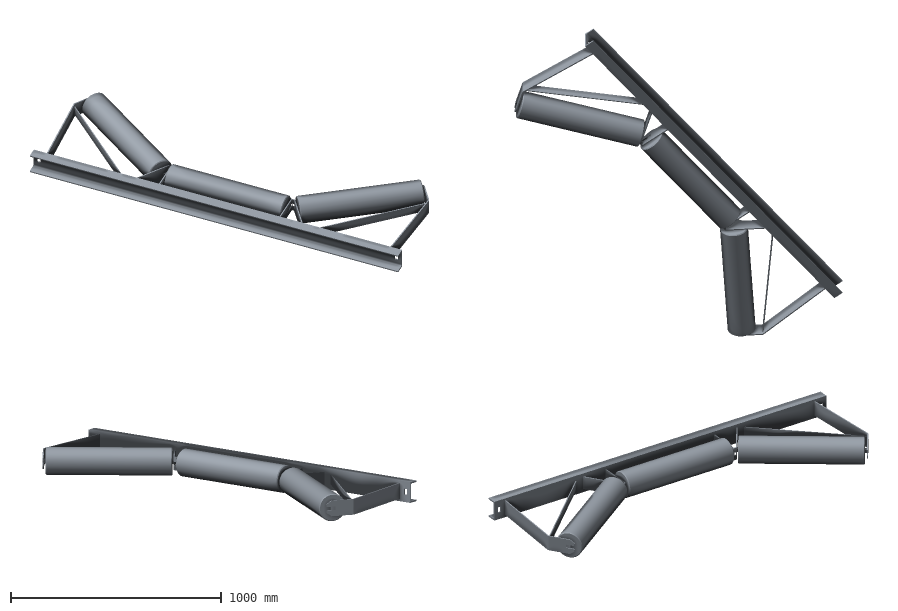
import cadquery as cq
import math


BEAM_LENGTH = 1900.0
BEAM_HEIGHT = 100.0
FLANGE_DEPTH = 50.0
WEB_THICKNESS = 5.0
FLANGE_THICKNESS = 8.0
ROOT_RADIUS = 8.0
TOE_RADIUS = 4.0
MOUNT_SLOT_WIDTH = 17.0
MOUNT_SLOT_HEIGHT = 28.0
MOUNT_SLOT_INSET = 28.0

ROLLER_RADIUS = 66.0
ROLLER_LENGTH = 600.0
SHAFT_WIDTH = 17.0
SHAFT_DEPTH = 20.0
SHAFT_RECESS = 2.0
ROLLER_CHAMFER = 4.0
TROUGH_ANGLE = 35.0
CENTRE_ROLLER_Y = 118.0
SIDE_ROLLER_X = 600.0
ROLLER_TOP_Y = 532.0
SIDE_ROLLER_Y = (
    ROLLER_TOP_Y
    - (ROLLER_LENGTH / 2 - ROLLER_CHAMFER) * math.sin(math.radians(TROUGH_ANGLE))
    - ROLLER_RADIUS * math.cos(math.radians(TROUGH_ANGLE))
)

STRIP_THICKNESS = 5.0
OUTER_WIDTH = 76.0
INNER_WIDTH = 65.0
BRACKET_GAP = 8.0
SIDE_BRACKET_SHIFT = 2.0
TIP_REACH = 35.0
TIP_CHAMFER_LENGTH = 25.0
TIP_CHAMFER_WIDTH = 17.0
BEND_REACH = 100.0
BEND_RADIUS = 13.0
OUTER_FOOT_X = 885.0
INNER_BRACKET_TOP_Y = 162.0

BRACE_THICKNESS = 4.8
BRACE_WIDTH = 45.0
BRACE_FOOT_X = 483.0

BRACKET_OFFSET = ROLLER_LENGTH / 2 + BRACKET_GAP + STRIP_THICKNESS / 2
SIDE_INNER_OFFSET = BRACKET_OFFSET - SIDE_BRACKET_SHIFT
SIDE_OUTER_OFFSET = BRACKET_OFFSET + SIDE_BRACKET_SHIFT
SHAFT_LENGTH = 2 * BRACKET_OFFSET + STRIP_THICKNESS - 2 * SHAFT_RECESS
CUT_LENGTH = 2 * BRACKET_OFFSET + 2 * STRIP_THICKNESS
LEG_BURIAL = 19.0


def place_on_roller(shape, x, y, angle):
    """Move a shape from the frame of a roller (axis along X, centre at the origin) to its place."""
    return shape.rotate((0, 0, 0), (0, 0, 1), angle).translate((x, y, 0))


def side_point(along, up):
    """Point of the right side roller's frame: `along` its axis outward, `up` square to it."""
    angle = math.radians(TROUGH_ANGLE)
    x = SIDE_ROLLER_X + along * math.cos(angle) - up * math.sin(angle)
    y = SIDE_ROLLER_Y + along * math.sin(angle) + up * math.cos(angle)
    return x, y


def point_at_height(start, end, y):
    """Point at height y on the line through two points."""
    share = (y - start[1]) / (end[1] - start[1])
    return start[0] + share * (end[0] - start[0]), y


def strip(points, thickness, width):
    """Flat bar bent along a centre line in XY, with mitred bends, centred on Z = 0."""
    normals = []
    for (x0, y0), (x1, y1) in zip(points, points[1:]):
        length = math.hypot(x1 - x0, y1 - y0)
        normals.append(((y0 - y1) / length, (x1 - x0) / length))
    before = [normals[0]] + normals
    after = normals + [normals[-1]]
    left = []
    right = []
    for (x, y), (ax, ay), (bx, by) in zip(points, before, after):
        reach = thickness / 2 / (1 + ax * bx + ay * by)
        dx = (ax + bx) * reach
        dy = (ay + by) * reach
        left.append((x + dx, y + dy))
        right.append((x - dx, y - dy))
    outline = left + right[::-1]
    return cq.Workplane("XY", origin=(0, 0, -width / 2)).polyline(outline).close().extrude(width)


def trim_at_beam(body):
    """Cut off everything below the back of the beam's web."""
    size = 2 * BEAM_LENGTH
    return body.cut(cq.Workplane("XY").box(size, size, size).translate((0, -size / 2, 0)))


def mirrored(body):
    return body.mirror("YZ")


def make_beam():
    inner_height = BEAM_HEIGHT - 2 * FLANGE_THICKNESS
    beam = cq.Workplane("XY").box(BEAM_LENGTH, FLANGE_DEPTH, BEAM_HEIGHT)
    beam = beam.translate((0, -FLANGE_DEPTH / 2, 0))
    trough = (
        cq.Workplane("XY")
        .box(BEAM_LENGTH, FLANGE_DEPTH, inner_height)
        .translate((0, -FLANGE_DEPTH / 2 - WEB_THICKNESS, 0))
        .edges("|X and >Y")
        .fillet(ROOT_RADIUS)
    )
    beam = beam.cut(trough)
    toes = cq.selectors.BoxSelector(
        (-BEAM_LENGTH, -FLANGE_DEPTH - TOE_RADIUS, -inner_height / 2 - TOE_RADIUS / 2),
        (BEAM_LENGTH, -FLANGE_DEPTH + TOE_RADIUS, inner_height / 2 + TOE_RADIUS / 2),
    )
    beam = beam.edges("|X").edges(toes).fillet(TOE_RADIUS)
    slot_x = BEAM_LENGTH / 2 - MOUNT_SLOT_INSET
    slots = (
        cq.Workplane("XZ")
        .pushPoints([(-slot_x, 0), (slot_x, 0)])
        .rect(MOUNT_SLOT_WIDTH, MOUNT_SLOT_HEIGHT)
        .extrude(FLANGE_DEPTH, both=True)
    )
    return beam.cut(slots)


def make_roller(x, y, angle):
    """Roller drum with the flat-sided ends of its shaft."""
    drum = cq.Workplane("YZ", origin=(-ROLLER_LENGTH / 2, 0, 0)).circle(ROLLER_RADIUS).extrude(ROLLER_LENGTH)
    drum = drum.edges().chamfer(ROLLER_CHAMFER)
    shaft = cq.Workplane("XY").box(SHAFT_LENGTH, SHAFT_DEPTH, SHAFT_WIDTH)
    return place_on_roller(drum.union(shaft), x, y, angle)


def make_shaft_slots(x, y, angle):
    """Slots over both shaft ends of a roller, open upward."""
    slots = cq.Workplane("XY").box(CUT_LENGTH, 2 * ROLLER_RADIUS, SHAFT_WIDTH)
    return place_on_roller(slots.translate((0, ROLLER_RADIUS - SHAFT_DEPTH / 2, 0)), x, y, angle)


def make_outer_bracket():
    """Right outer bracket: a leg from the beam, bent to stand square to the side roller."""
    tip = side_point(SIDE_OUTER_OFFSET, TIP_REACH)
    bend = side_point(SIDE_OUTER_OFFSET, -BEND_REACH)
    foot = point_at_height(bend, (OUTER_FOOT_X, 0), -LEG_BURIAL)
    bracket = strip([tip, bend, foot], STRIP_THICKNESS, OUTER_WIDTH)
    bracket = bracket.edges("|Z and >X").fillet(BEND_RADIUS)
    bracket = trim_at_beam(bracket)
    corner = (
        cq.Workplane("YZ")
        .moveTo(TIP_REACH, OUTER_WIDTH / 2)
        .lineTo(TIP_REACH - TIP_CHAMFER_LENGTH, OUTER_WIDTH / 2)
        .lineTo(TIP_REACH, OUTER_WIDTH / 2 - TIP_CHAMFER_WIDTH)
        .close()
        .extrude(CUT_LENGTH)
    )
    for cutter in (corner, corner.mirror("XY")):
        bracket = bracket.cut(place_on_roller(cutter, SIDE_ROLLER_X, SIDE_ROLLER_Y, TROUGH_ANGLE))
    return bracket.cut(make_shaft_slots(SIDE_ROLLER_X, SIDE_ROLLER_Y, TROUGH_ANGLE))


def make_inner_bracket():
    """Right inner bracket: an upright leg at the centre roller and a sloping one at the side roller."""
    upright_top = (BRACKET_OFFSET, INNER_BRACKET_TOP_Y)
    upright_foot = (BRACKET_OFFSET, -LEG_BURIAL)
    leg_line = (side_point(-SIDE_INNER_OFFSET, 0), side_point(-SIDE_INNER_OFFSET, 19))
    leg_top = point_at_height(*leg_line, INNER_BRACKET_TOP_Y)
    leg_foot = point_at_height(*leg_line, -LEG_BURIAL)
    bracket = strip([upright_foot, upright_top, leg_top, leg_foot], STRIP_THICKNESS, INNER_WIDTH)
    bracket = trim_at_beam(bracket)
    bracket = bracket.cut(make_shaft_slots(0, CENTRE_ROLLER_Y, 0))
    return bracket.cut(make_shaft_slots(SIDE_ROLLER_X, SIDE_ROLLER_Y, TROUGH_ANGLE))


def make_brace(outer_bracket):
    """Right brace: a flat bar from the bend of the outer bracket down to the beam."""
    bend = side_point(SIDE_OUTER_OFFSET, -BEND_REACH)
    foot = point_at_height(bend, (BRACE_FOOT_X, 0), -LEG_BURIAL)
    return trim_at_beam(strip([bend, foot], BRACE_THICKNESS, BRACE_WIDTH)).cut(outer_bracket)


beam = make_beam()
centre_roller = make_roller(0, CENTRE_ROLLER_Y, 0)
side_roller = make_roller(SIDE_ROLLER_X, SIDE_ROLLER_Y, TROUGH_ANGLE)
outer_bracket = make_outer_bracket()
inner_bracket = make_inner_bracket()
brace = make_brace(outer_bracket)

bodies = [beam, centre_roller]
for body in (side_roller, outer_bracket, inner_bracket, brace):
    bodies += [body, mirrored(body)]

result = cq.Compound.makeCompound([body.val() for body in bodies])